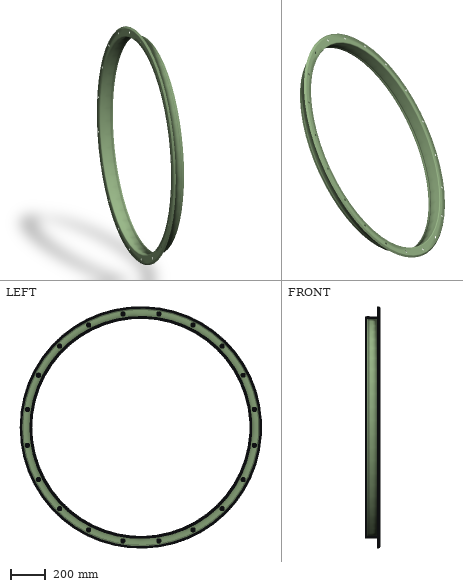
import cadquery as cq
import math

length = 80.0
outer_radius = 690.0

sleeve_inner_radius = 630.0
sheet = 1.5
root_bend_radius = 4.0

bead_start = 5.0
bead_end = 18.5
bead_height = 2.6

lip_front = 69.5
lip_angle = 45.0
lip_bend_radius = 4.0

hole_count = 20
hole_diameter = 14.5
bolt_circle_radius = 660.0

sleeve_outer_radius = sleeve_inner_radius + sheet
flange_front = length - sheet
lip_slope = math.tan(math.radians(lip_angle))
lip_edge_run = sheet * math.sin(math.radians(lip_angle))
lip_edge_rise = sheet * math.cos(math.radians(lip_angle))
lip_front_radius = outer_radius - lip_edge_rise
lip_outer_front = lip_front + lip_edge_run
inner_corner_radius = lip_front_radius - (flange_front - lip_front) * lip_slope
outer_corner_radius = outer_radius - (length - lip_outer_front) * lip_slope


def bend_ends(corner_x, corner_radius, bend_radius):
    """Points where a bend arc leaves the flange and where it meets the lip."""
    turn = math.radians(90 - lip_angle)
    setback = bend_radius * math.tan(turn / 2)
    flange_point = (corner_x, corner_radius - setback)
    lip_point = (
        corner_x - setback * math.sin(turn),
        corner_radius + setback * math.cos(turn),
    )
    return flange_point, lip_point


def add_bead(section, base_radius, first_x, last_x):
    """Continue a section over the bead: a foot, a rounded crown and a second foot.

    The two feet and the two halves of the crown are tangent arcs of one radius.
    """
    quarter = (last_x - first_x) / 4
    mid_height = bead_height / 2
    arc_radius = (quarter**2 + mid_height**2) / bead_height
    foot_radius = -math.copysign(arc_radius, quarter)
    return (
        section.lineTo(first_x, base_radius)
        .radiusArc((first_x + quarter, base_radius + mid_height), foot_radius)
        .threePointArc(
            (first_x + 2 * quarter, base_radius + bead_height),
            (last_x - quarter, base_radius + mid_height),
        )
        .radiusArc((last_x, base_radius), foot_radius)
    )


def make_ring():
    """Sleeve, bead, flange and lip: one section turned around the X axis."""
    outer_lip_bend = lip_bend_radius + sheet
    outer_root_bend = root_bend_radius + sheet
    outer_flange_point, outer_lip_point = bend_ends(length, outer_corner_radius, outer_lip_bend)
    inner_flange_point, inner_lip_point = bend_ends(flange_front, inner_corner_radius, lip_bend_radius)
    section = cq.Workplane("XY").moveTo(0, sleeve_inner_radius)
    section = add_bead(section, sleeve_inner_radius, bead_start, bead_end)
    section = (
        section.lineTo(length - outer_root_bend, sleeve_inner_radius)
        .radiusArc((length, sleeve_inner_radius + outer_root_bend), -outer_root_bend)
        .lineTo(*outer_flange_point)
        .radiusArc(outer_lip_point, -outer_lip_bend)
        .lineTo(lip_outer_front, outer_radius)
        .lineTo(lip_front, lip_front_radius)
        .lineTo(*inner_lip_point)
        .radiusArc(inner_flange_point, lip_bend_radius)
        .lineTo(flange_front, sleeve_outer_radius + root_bend_radius)
        .radiusArc((flange_front - root_bend_radius, sleeve_outer_radius), root_bend_radius)
    )
    section = add_bead(section, sleeve_outer_radius, bead_end, bead_start)
    section = section.lineTo(0, sleeve_outer_radius).close()
    return section.revolve(360, (0, 0, 0), (1, 0, 0))


def make_bolt_holes():
    """Cutters for the flange holes, with neighbours straddling the Y and Z axes."""
    pitch = 360.0 / hole_count
    return (
        cq.Workplane("YZ")
        .workplane(offset=flange_front)
        .polarArray(bolt_circle_radius, pitch / 2, 360, hole_count)
        .circle(hole_diameter / 2)
        .extrude(sheet)
    )


result = make_ring().cut(make_bolt_holes())